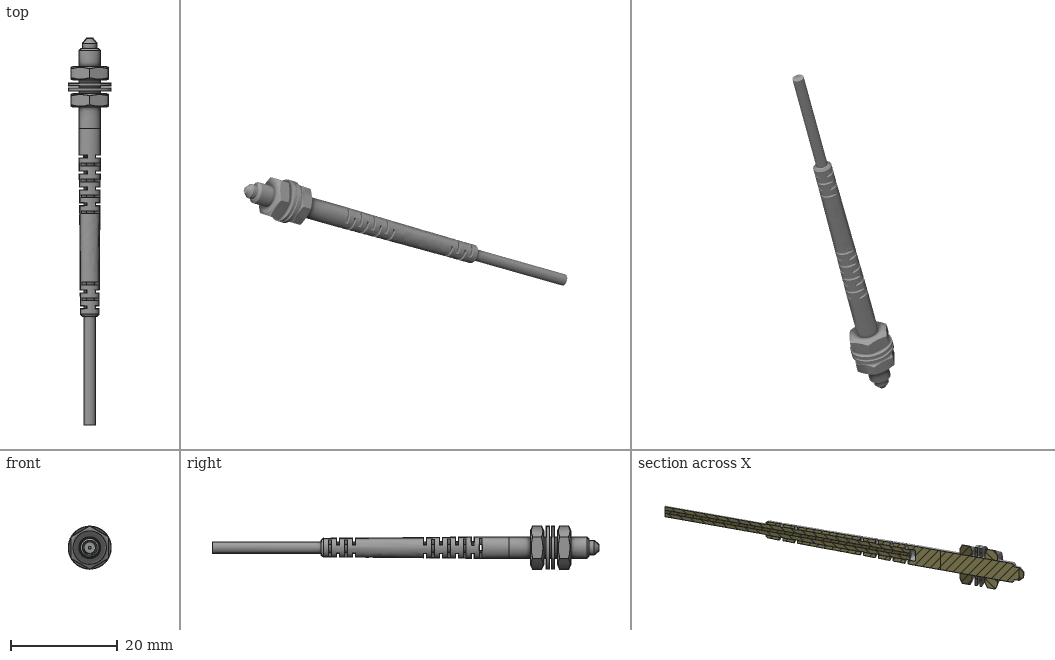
import cadquery as cq
import math

LENGTH = 72.3

BARREL_RADIUS = 2.0
BARREL_REAR_Y = 55.5
BARREL_FRONT_Y = 70.45
BARREL_CHAMFER = 0.4
NOSE_RADIUS = 1.4
NOSE_FRONT_Y = 71.4

TIP_FACE_RADIUS = 0.6

NUT_SIDES = 6
NUT_CORNER_RADIUS = 4.05
NUT_FACE_RADIUS = 3.1
NUT_CHAMFER_DEPTH = 0.4
NUT_THICKNESS = 2.5
NUT_REAR_Y = [59.45, 64.5]

WASHER_DIAMETER = 8.0
WASHER_RADIUS = WASHER_DIAMETER / 2
FLAT_WASHER_REAR_Y = 63.4
FLAT_WASHER_THICKNESS = 0.5
LOCK_WASHER_REAR_Y = 62.4
LOCK_WASHER_THICKNESS = 0.65

CABLE_RADIUS = 1.1
CORE_RADIUS = 0.25
CABLE_FRONT_Y = 49.5

BOOT_REAR_Y = 20.3
BOOT_CHAMFER_DEPTH = 0.4
BOOT_END_RADIUS = 1.4
TAPER_DROP = 0.27
TAPER_SAG = 0.035
BOOT_SLIM_RADIUS = BARREL_RADIUS - TAPER_DROP

QUARTER_TURN = 90
FRONT_GROUP_COUNT = 8
FRONT_GROUP_SPAN = 10.4
FRONT_GROUP_Y = 50.2
REAR_GROUP_COUNT = 4
REAR_GROUP_Y = 26.5
SLOT_PITCH = FRONT_GROUP_SPAN / (FRONT_GROUP_COUNT - 1)
SLOT_GROUPS = [
    (FRONT_GROUP_Y, FRONT_GROUP_COUNT, 0),
    (REAR_GROUP_Y, REAR_GROUP_COUNT, QUARTER_TURN),
]
SLOT_WIDTH = 0.5
WEB_THICKNESS = 1.6
SLOT_TILT = 10.5
TAPER_FRONT_Y = FRONT_GROUP_Y
BORE_FRONT_Y = FRONT_GROUP_Y + SLOT_WIDTH / 2


def revolve_about_y(points):
    """Turn an outline of (radius, y) points about the Y axis."""
    return cq.Workplane("XY").polyline(points).close().revolve(360, (0, 0, 0), (0, 1, 0))


def cylinder(radius, rear_y, front_y):
    return revolve_about_y([(0, rear_y), (radius, rear_y), (radius, front_y), (0, front_y)])


def ring(inner_radius, outer_radius, rear_y, front_y):
    return cylinder(outer_radius, rear_y, front_y).cut(cylinder(inner_radius, rear_y, front_y))


def make_barrel():
    return revolve_about_y(
        [
            (0, BARREL_REAR_Y),
            (BARREL_RADIUS, BARREL_REAR_Y),
            (BARREL_RADIUS, BARREL_FRONT_Y - BARREL_CHAMFER),
            (BARREL_RADIUS - BARREL_CHAMFER, BARREL_FRONT_Y),
            (NOSE_RADIUS, BARREL_FRONT_Y),
            (NOSE_RADIUS, NOSE_FRONT_Y),
            (0, NOSE_FRONT_Y),
        ]
    )


def make_tip():
    return revolve_about_y(
        [(0, NOSE_FRONT_Y), (NOSE_RADIUS, NOSE_FRONT_Y), (TIP_FACE_RADIUS, LENGTH), (0, LENGTH)]
    )


def make_nut(rear_y):
    """Hexagon nut with corners at +Z and -Z and both faces chamfered."""
    front_y = rear_y + NUT_THICKNESS
    corner_angles = [2 * math.pi * i / NUT_SIDES for i in range(NUT_SIDES)]
    corners = [
        (NUT_CORNER_RADIUS * math.sin(angle), NUT_CORNER_RADIUS * math.cos(angle)) for angle in corner_angles
    ]
    hexagon = cq.Workplane("XZ", origin=(0, front_y, 0)).polyline(corners).close().extrude(NUT_THICKNESS)
    chamfered_blank = revolve_about_y(
        [
            (BARREL_RADIUS, rear_y),
            (NUT_FACE_RADIUS, rear_y),
            (NUT_CORNER_RADIUS, rear_y + NUT_CHAMFER_DEPTH),
            (NUT_CORNER_RADIUS, front_y - NUT_CHAMFER_DEPTH),
            (NUT_FACE_RADIUS, front_y),
            (BARREL_RADIUS, front_y),
        ]
    )
    return hexagon.intersect(chamfered_blank)


def make_washer(rear_y, thickness):
    return ring(BARREL_RADIUS, WASHER_RADIUS, rear_y, rear_y + thickness)


def boot_blank():
    """Outer shape: a full-size collar, a long slightly hollow taper and a chamfered rear end."""
    taper_rear_y = BOOT_REAR_Y + BOOT_CHAMFER_DEPTH
    taper_middle_y = (taper_rear_y + TAPER_FRONT_Y) / 2
    taper_middle_radius = (BOOT_SLIM_RADIUS + BARREL_RADIUS) / 2 - TAPER_SAG
    return (
        cq.Workplane("XY")
        .moveTo(0, BOOT_REAR_Y)
        .lineTo(BOOT_END_RADIUS, BOOT_REAR_Y)
        .lineTo(BOOT_SLIM_RADIUS, taper_rear_y)
        .spline(
            [(taper_middle_radius, taper_middle_y), (BARREL_RADIUS, TAPER_FRONT_Y)], includeCurrent=True
        )
        .lineTo(BARREL_RADIUS, BARREL_REAR_Y)
        .lineTo(0, BARREL_REAR_Y)
        .close()
        .revolve(360, (0, 0, 0), (0, 1, 0))
    )


def slot_pair(slot_y, turn):
    """Two opposite slots that leave a web across the middle, turned about the boot's axis."""
    across = 4 * BARREL_RADIUS
    slice_block = cq.Workplane("XY").box(across, SLOT_WIDTH, across)
    web = cq.Workplane("XY").box(WEB_THICKNESS, SLOT_WIDTH, across)
    slots = slice_block.cut(web).rotate((0, 0, 0), (0, 1, 0), SLOT_TILT + turn)
    return slots.translate((0, slot_y, 0))


def make_boot():
    boot = boot_blank().cut(cylinder(CABLE_RADIUS, BOOT_REAR_Y, BORE_FRONT_Y))
    for first_y, slot_count, first_turn in SLOT_GROUPS:
        for index in range(slot_count):
            slot_y = first_y - index * SLOT_PITCH
            boot = boot.cut(slot_pair(slot_y, first_turn + QUARTER_TURN * index))
    return boot


barrel = make_barrel()
tip = make_tip()
nuts = [make_nut(rear_y) for rear_y in NUT_REAR_Y]
flat_washer = make_washer(FLAT_WASHER_REAR_Y, FLAT_WASHER_THICKNESS)
lock_washer = make_washer(LOCK_WASHER_REAR_Y, LOCK_WASHER_THICKNESS)
boot = make_boot()
cable_jacket = ring(CORE_RADIUS, CABLE_RADIUS, 0, CABLE_FRONT_Y)
cable_core = cylinder(CORE_RADIUS, 0, CABLE_FRONT_Y)

result = cq.Compound.makeCompound(
    [
        barrel.val(),
        tip.val(),
        *[nut.val() for nut in nuts],
        flat_washer.val(),
        lock_washer.val(),
        boot.val(),
        cable_jacket.val(),
        cable_core.val(),
    ]
)